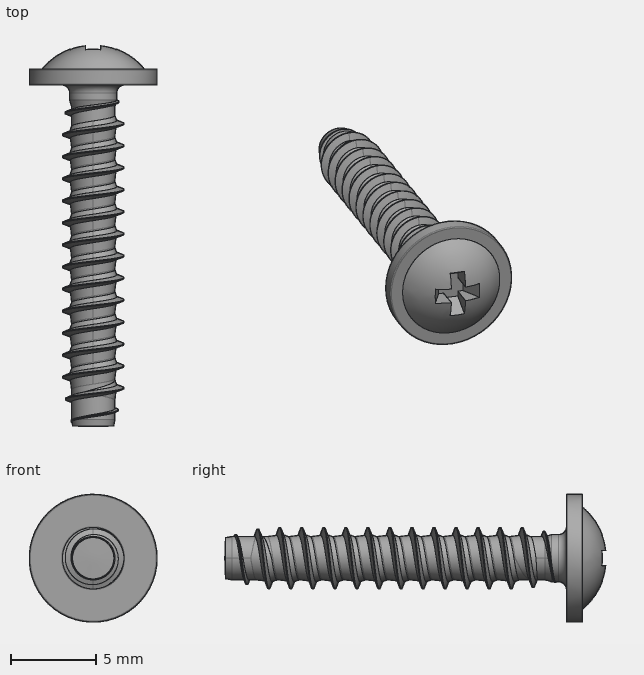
import cadquery as cq
import math


flange_radius = 3.75
flange_thickness = 0.95
flange_edge_radius = 0.06
dome_base_radius = 3.0
dome_apex = 2.36

recess_arm_width = 0.875
recess_tip_radius = 1.37
recess_depth = 1.5
recess_side_angle = 26.5

neck_radius = 1.39
neck_fillet = 0.45
neck_end = -0.86
core_radius = 1.275
core_start = -1.25
shank_length = 20.0
point_start = -19.58
point_radius = 1.21
end_cone_height = 0.04

thread_pitch = 1.29
thread_crest_radius = 1.8
thread_start_y = -0.65
thread_turns = 15
run_in_turns = 1.25
run_out_turns = 1.75
run_in_drop = 0.37
run_out_drop = 0.58
start_angle = -90.0
patches_per_turn = 2
steps_per_patch = 12

crest_half_width = 0.03
flank_half_width = 0.19
flank_foot_radius = 1.38
relief_radius = 1.34
flare_width = 0.31
root_radius = 1.27
buried_radius = 1.1
turn_gap = 0.02
flare_end = flank_half_width + flare_width
relief_end = flare_end - thread_pitch + turn_gap
ridge_section = [
    (flare_end, root_radius),
    (flank_half_width, flank_foot_radius),
    (crest_half_width, thread_crest_radius),
    (-crest_half_width, thread_crest_radius),
    (-flank_half_width, relief_radius),
    (relief_end, root_radius),
    (relief_end, buried_radius),
    (flare_end, buried_radius),
]


def dome_sphere_radius():
    height = dome_apex - flange_thickness
    return (dome_base_radius**2 + height**2) / (2 * height)


def dome_height(radius):
    """Y of the dome surface at a given distance from the axis."""
    sphere_radius = dome_sphere_radius()
    return dome_apex - sphere_radius + math.sqrt(sphere_radius**2 - radius**2)


def revolve_about_axis(profile):
    return profile.close().revolve(360, (0, 0, 0), (0, 1, 0))


def make_head():
    flange = cq.Workplane("XZ").circle(flange_radius).extrude(-flange_thickness)
    flange = flange.edges().fillet(flange_edge_radius)
    overlap_y = flange_thickness / 2
    dome_middle = dome_base_radius / 2
    dome = revolve_about_axis(
        cq.Workplane("XY")
        .moveTo(0, overlap_y)
        .lineTo(dome_base_radius, overlap_y)
        .lineTo(dome_base_radius, flange_thickness)
        .threePointArc((dome_middle, dome_height(dome_middle)), (0, dome_apex))
    )
    return flange.union(dome)


def make_recess():
    """Cross of two arms whose outer ends lean inward toward the bottom."""
    floor_y = dome_apex - recess_depth
    end_slope = math.tan(math.radians(recess_side_angle))
    tip_y = dome_height(recess_tip_radius)
    floor_radius = recess_tip_radius - (tip_y - floor_y) * end_slope
    top_radius = recess_tip_radius + (dome_apex - tip_y) * end_slope
    recess = None
    for turn in (0, 90):
        arm = (
            cq.Workplane("XY")
            .polyline([(-floor_radius, floor_y), (floor_radius, floor_y),
                       (top_radius, dome_apex), (-top_radius, dome_apex)])
            .close()
            .extrude(recess_arm_width / 2, both=True)
            .rotate((0, 0, 0), (0, 1, 0), turn)
        )
        recess = arm if recess is None else recess.union(arm)
    return recess


def make_shank():
    """Filleted neck, core, tapered point and a very shallow conical end."""
    fillet_center_radius = neck_radius + neck_fillet
    overlap_y = flange_thickness / 2
    fillet_reach = neck_fillet * math.sin(math.radians(45))
    return revolve_about_axis(
        cq.Workplane("XY")
        .moveTo(0, overlap_y)
        .lineTo(fillet_center_radius, overlap_y)
        .lineTo(fillet_center_radius, 0)
        .threePointArc(
            (fillet_center_radius - fillet_reach, -neck_fillet + fillet_reach),
            (neck_radius, -neck_fillet),
        )
        .lineTo(neck_radius, neck_end)
        .lineTo(core_radius, core_start)
        .lineTo(core_radius, point_start)
        .lineTo(point_radius, end_cone_height - shank_length)
        .lineTo(0, -shank_length)
    )


def thread_sink(turn):
    """How far the ridge sinks toward the axis near the two ends of the thread."""
    run_in = run_in_drop * max(0.0, 1 - turn / run_in_turns)
    run_out = run_out_drop * max(0.0, 1 - (thread_turns - turn) / run_out_turns)
    return run_in + run_out


def ridge_point(offset, radius, turn):
    """Point on the right-hand helix of one corner of the ridge section."""
    angle = math.radians(start_angle + 360 * turn)
    sunk_radius = radius - thread_sink(turn)
    y = thread_start_y - thread_pitch * turn + offset
    return cq.Vector(sunk_radius * math.cos(angle), y, sunk_radius * math.sin(angle))


def make_thread():
    """Solid ridge built from half-turn patches, closed by two flat end caps."""
    patch_count = thread_turns * patches_per_turn
    faces = []
    for patch in range(patch_count):
        turns = [
            (patch + step / steps_per_patch) / patches_per_turn
            for step in range(steps_per_patch + 1)
        ]
        helices = [
            cq.Edge.makeSpline([ridge_point(offset, radius, turn) for turn in turns])
            for offset, radius in ridge_section
        ]
        for index, helix in enumerate(helices):
            faces.append(cq.Face.makeRuledSurface(helix, helices[index - 1]))
    for turn in (0, thread_turns):
        corners = [ridge_point(offset, radius, turn) for offset, radius in ridge_section]
        faces.append(cq.Face.makeFromWires(cq.Wire.makePolygon(corners, close=True)))
    ridge = cq.Solid.makeSolid(cq.Shell.makeShell(faces))
    return cq.Workplane(ridge.fix()).cut(make_end_trim())


def make_end_trim():
    """Cylinder beyond the point that cuts off the buried foot of the last turn."""
    trim_plane = cq.Workplane("XZ", origin=(0, end_cone_height - shank_length, 0))
    return trim_plane.circle(thread_crest_radius).extrude(thread_pitch)


screw = make_head().union(make_shank()).cut(make_recess())
result = cq.Workplane(screw.union(make_thread()).solids().val())